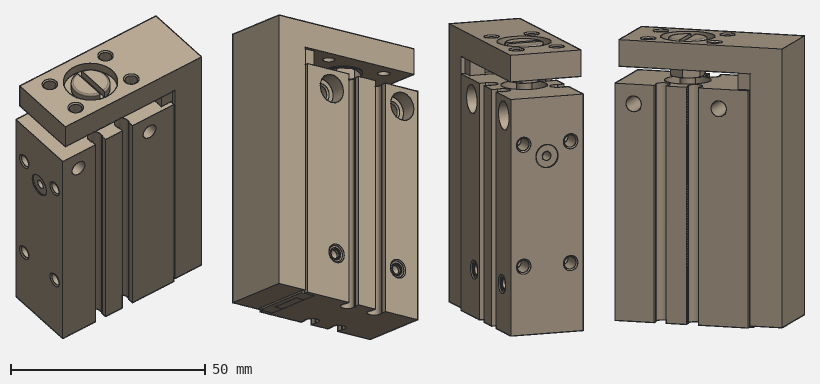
import cadquery as cq
import math


PLUS_X = cq.Vector(1, 0, 0)
PLUS_Y = cq.Vector(0, 1, 0)
PLUS_Z = cq.Vector(0, 0, 1)
DRILL_POINT_ANGLE = 118

total_depth = 45.0
total_height = 73.5

housing_width = 20.0
housing_depth = 35.9
housing_height = 62.1

table_width = 19.5
table_arm_thickness = 7.0
table_front = 1.0
table_bottom = 0.5
table_inner_face = 36.4
table_arm_bottom = total_height - table_arm_thickness

carriage_width = 17.4
carriage_front = 32.8
carriage_back = 36.9
rail_width = 9.05
rail_back = 35.3

rod_axis_y = 16.55
rod_diameter = 4.0
rod_bottom = 39.7
rod_top = 69.8
joint_diameter = 10.0
joint_edge = 0.5
joint_bottom = 66.2
joint_top = 73.35
joint_slot_width = 1.5
joint_slot_depth = 2.0
joint_recess_diameter = 14.0
joint_recess_depth = 2.5
nut_across_flats = 8.0
nut_bottom = 63.35
nut_corner_chamfer = 0.3
rod_recess_diameter = 12.0
rod_recess_depth = 7.35

thread_diameter = 3.2
thread_mouth = 4.0
table_hole_x = 5.5
table_hole_offset_y = 9.0
front_hole_x = 6.5
front_hole_heights = (18.0, 50.0)
front_hole_depth = 6.0

mount_hole_diameter = 4.1
mount_hole_mouth = 5.0
mount_counterbore = 7.5
mount_counterbore_depth = 4.3
mount_hole_ys = (5.1, 28.0)
mount_hole_z = 56.95

port_diameter = 4.3
port_mouth = 5.0
port_depth = 0.4
port_step_diameter = 3.2
port_step_depth = 0.65
port_core_diameter = 2.6
port_core_depth = 1.5
port_ys = (6.5, 26.45)
port_z = 12.5

plug_z = 46.5
plug_diameter = 6.0
plug_setback = 0.4
plug_length = 5.0
plug_hole_diameter = 2.35

groove_offset_y = 4.3
groove_mouth_width = 3.2
groove_diameter = 3.7
groove_lip = 1.7
groove_centre_depth = 2.6


def box(x_range, y_range, z_range):
    """Box between the given limits along X, Y and Z."""
    size = [high - low for low, high in (x_range, y_range, z_range)]
    corner = cq.Vector(x_range[0], y_range[0], z_range[0])
    return cq.Workplane(cq.Solid.makeBox(*size, corner))


def centred_box(width, y_range, z_range):
    """Box centred on X = 0."""
    return box((-width / 2, width / 2), y_range, z_range)


def cylinder(diameter, length, start, axis):
    return cq.Workplane(cq.Solid.makeCylinder(diameter / 2, length, start, axis))


def drill_tip(diameter, start, axis):
    """Cone that ends a drilled hole."""
    length = diameter / 2 / math.tan(math.radians(DRILL_POINT_ANGLE / 2))
    return cq.Workplane(cq.Solid.makeCone(diameter / 2, 0, length, start, axis))


def hole_mouth(mouth_diameter, hole_diameter, start, axis):
    """45 degree cone that widens a hole where it meets a face."""
    depth = (mouth_diameter - hole_diameter) / 2
    return cq.Workplane(cq.Solid.makeCone(mouth_diameter / 2, hole_diameter / 2, depth, start, axis))


def sensor_groove(side, y):
    """Full-height groove cutter: narrow mouth, wider round-bottomed channel. Side is -1 or +1."""
    radius = groove_diameter / 2
    mouth = cq.Workplane().rect(2 * groove_lip, groove_mouth_width).extrude(housing_height)
    channel = (
        cq.Workplane()
        .moveTo(groove_lip, -radius)
        .lineTo(groove_centre_depth, -radius)
        .threePointArc((groove_centre_depth + radius, 0), (groove_centre_depth, radius))
        .lineTo(groove_lip, radius)
        .close()
        .extrude(housing_height)
    )
    groove = mouth.union(channel)
    if side > 0:
        groove = groove.mirror("YZ")
    return groove.translate((side * housing_width / 2, y, 0))


def front_hole(x, z):
    """Blind threaded hole in the front face."""
    start = cq.Vector(x, 0, z)
    return (
        cylinder(thread_diameter, front_hole_depth, start, PLUS_Y)
        .union(hole_mouth(thread_mouth, thread_diameter, start, PLUS_Y))
        .union(drill_tip(thread_diameter, start + PLUS_Y * front_hole_depth, PLUS_Y))
    )


def mount_hole(y):
    """Counterbored mounting hole right through the housing along X."""
    start = cq.Vector(-housing_width / 2, y, mount_hole_z)
    shoulder = start + PLUS_X * mount_counterbore_depth
    return (
        cylinder(mount_hole_diameter, housing_width, start, PLUS_X)
        .union(cylinder(mount_counterbore, mount_counterbore_depth, start, PLUS_X))
        .union(hole_mouth(mount_hole_mouth, mount_hole_diameter, shoulder, PLUS_X))
    )


def port(y):
    """Stepped blind air port in the -X face."""
    start = cq.Vector(-housing_width / 2, y, port_z)
    return (
        cylinder(port_diameter, port_depth, start, PLUS_X)
        .union(hole_mouth(port_mouth, port_diameter, start, PLUS_X))
        .union(cylinder(port_step_diameter, port_step_depth, start, PLUS_X))
        .union(cylinder(port_core_diameter, port_core_depth, start, PLUS_X))
        .union(drill_tip(port_core_diameter, start + PLUS_X * port_core_depth, PLUS_X))
    )


def make_housing():
    body = centred_box(housing_width, (0, housing_depth), (0, housing_height))
    body = body.cut(centred_box(carriage_width, (carriage_front, housing_depth), (0, housing_height)))
    for side in (-1, 1):
        for y in (rod_axis_y - groove_offset_y, rod_axis_y + groove_offset_y):
            body = body.cut(sensor_groove(side, y))
    for z in front_hole_heights:
        for x in (-front_hole_x, front_hole_x):
            body = body.cut(front_hole(x, z))
    for y in mount_hole_ys:
        body = body.cut(mount_hole(y))
    for y in port_ys:
        body = body.cut(port(y))
    body = body.cut(
        cylinder(rod_diameter, housing_height - rod_bottom, cq.Vector(0, rod_axis_y, rod_bottom), PLUS_Z)
    )
    recess_start = cq.Vector(0, rod_axis_y, housing_height - rod_recess_depth)
    body = body.cut(cylinder(rod_recess_diameter, rod_recess_depth, recess_start, PLUS_Z))
    plug_start = cq.Vector(0, 0, plug_z)
    body = body.cut(cylinder(plug_diameter, plug_setback + plug_length, plug_start, PLUS_Y))
    return body.cut(cylinder(plug_hole_diameter, rod_axis_y, plug_start, PLUS_Y))


def make_table():
    wall = centred_box(table_width, (table_inner_face, total_depth), (table_bottom, total_height))
    arm = centred_box(table_width, (table_front, total_depth), (table_arm_bottom, total_height))
    body = wall.union(arm)
    body = body.cut(
        centred_box(carriage_width, (table_inner_face, carriage_back), (table_bottom, table_arm_bottom))
    )
    axis_foot = cq.Vector(0, rod_axis_y, table_arm_bottom)
    body = body.cut(cylinder(joint_diameter, table_arm_thickness, axis_foot, PLUS_Z))
    axis_head = cq.Vector(0, rod_axis_y, total_height)
    body = body.cut(cylinder(joint_recess_diameter, joint_recess_depth, axis_head, -PLUS_Z))
    for x in (-table_hole_x, table_hole_x):
        for y in (rod_axis_y - table_hole_offset_y, rod_axis_y + table_hole_offset_y):
            start = cq.Vector(x, y, total_height)
            body = body.cut(cylinder(thread_diameter, table_arm_thickness, start, -PLUS_Z))
            body = body.cut(hole_mouth(thread_mouth, thread_diameter, start, -PLUS_Z))
    return body


def make_carriage():
    """U-shaped guide block on the table."""
    block = centred_box(carriage_width, (carriage_front, carriage_back), (0, table_arm_bottom))
    return block.cut(centred_box(rail_width, (carriage_front, rail_back), (0, table_arm_bottom)))


def make_rail():
    """Guide rail on the housing, filling the slot of the carriage."""
    return centred_box(rail_width, (carriage_front, rail_back), (0, housing_height))


def make_rod():
    return cylinder(rod_diameter, rod_top - rod_bottom, cq.Vector(0, rod_axis_y, rod_bottom), PLUS_Z)


def make_nut():
    """Hexagon nut with corners on +X and -X, rounded off by a chamfer at both ends."""
    across_corners = nut_across_flats / math.cos(math.radians(30))
    height = joint_bottom - nut_bottom
    blank = cq.Workplane().circle(across_corners / 2).extrude(height)
    blank = blank.faces("<Z or >Z").edges().chamfer(nut_corner_chamfer)
    nut = cq.Workplane().polygon(6, across_corners).extrude(height).intersect(blank)
    nut = nut.cut(cq.Workplane().circle(rod_diameter / 2).extrude(height))
    return nut.translate((0, rod_axis_y, nut_bottom))


def make_joint():
    """Slotted round joint screwed on the end of the rod."""
    body = cylinder(joint_diameter, joint_top - joint_bottom, cq.Vector(0, rod_axis_y, joint_bottom), PLUS_Z)
    body = body.faces(">Z").edges().fillet(joint_edge)
    half_slot = joint_slot_width / 2
    body = body.cut(
        centred_box(
            joint_diameter,
            (rod_axis_y - half_slot, rod_axis_y + half_slot),
            (joint_top - joint_slot_depth, joint_top),
        )
    )
    return body.cut(make_rod())


def make_plug():
    """Vent plug set slightly below the front face."""
    start = cq.Vector(0, plug_setback, plug_z)
    plug = cylinder(plug_diameter, plug_length, start, PLUS_Y)
    return plug.cut(cylinder(plug_hole_diameter, plug_length, start, PLUS_Y))


housing = make_housing()
table = make_table()
carriage = make_carriage()
rail = make_rail()
rod = make_rod()
nut = make_nut()
joint = make_joint()
plug = make_plug()

result = cq.Compound.makeCompound(
    [
        housing.val(),
        table.val(),
        carriage.val(),
        rail.val(),
        rod.val(),
        nut.val(),
        joint.val(),
        plug.val(),
    ]
)